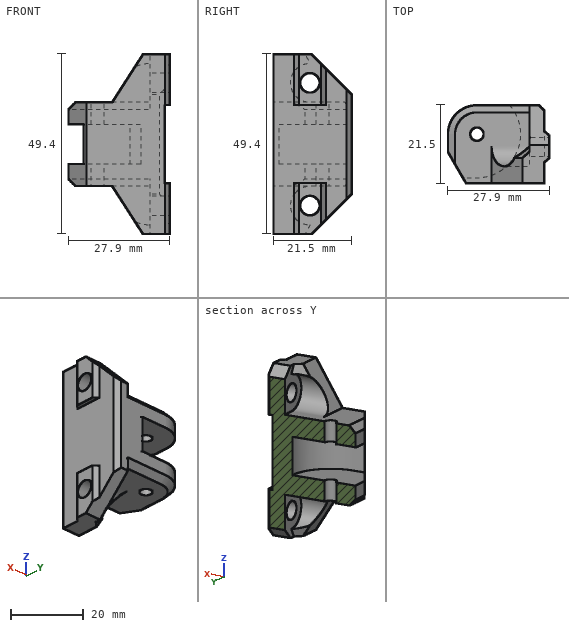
import cadquery as cq
import math

depth_y = 21.5
back_x = 26.5
half_height = 24.7
overlap = 1.0

body_half_height = 11.53
corner_radius = 8.0
rim_chamfer = 2.0
nose_cut_x = 5.0
nose_angle = 60.0
nose_cut_y = nose_cut_x * math.tan(math.radians(nose_angle))
pivot_diameter = 3.6
pivot_x = corner_radius
pivot_y = depth_y - corner_radius
slot_height = 10.85
slot_radius = 12.0

ear_face_x = 22.45
ear_corner_cut = 11.0
back_chamfer = 1.5
screw_diameter = 5.3
screw_y = 10.0
screw_z = 16.85
head_radius = screw_z - body_half_height

gusset_foot_x = 12.05
gusset_tip_x = 20.5
gusset_bevel_y = 7.0
gusset_bevel_x = 3.45

tongue_height = 1.4
tongue_base_width = 8.7
tongue_tip_width = 6.1
tongue_y = 10.05
tongue_inner_z = 10.7


def make_body():
    """Block with a rounded, chamfered corner and a sloped nose."""
    body = (
        cq.Workplane("XY", origin=(0, 0, -body_half_height))
        .moveTo(0, 0)
        .lineTo(back_x, 0)
        .lineTo(back_x, depth_y)
        .lineTo(corner_radius, depth_y)
        .radiusArc((0, pivot_y), -corner_radius)
        .close()
        .extrude(2 * body_half_height)
    )
    rim_region = cq.selectors.BoxSelector(
        (-overlap, overlap, -half_height), (back_x - overlap, depth_y + overlap, half_height)
    )
    body = body.edges("#Z").edges(rim_region).chamfer(rim_chamfer)
    nose = (
        cq.Workplane("XY", origin=(0, 0, -half_height))
        .polyline([(0, 0), (nose_cut_x, 0), (0, nose_cut_y)])
        .close()
        .extrude(2 * half_height)
    )
    return body.cut(nose)


def make_ear_plate():
    """Rear plate that carries both mounting ears."""
    plate = cq.Workplane("XY").box(back_x - ear_face_x, depth_y, 2 * half_height, centered=False)
    return plate.translate((ear_face_x, 0, -half_height))


def slope_x(z):
    """X of the gusset slope at the given height."""
    rise = (z - body_half_height) / (half_height - body_half_height)
    return gusset_foot_x + rise * (gusset_tip_x - gusset_foot_x)


def bevel_triangle(z):
    """Horizontal section of the gusset bevel at the given height."""
    x = slope_x(z)
    return cq.Wire.makePolygon(
        [
            cq.Vector(x, gusset_bevel_y, z),
            cq.Vector(x + gusset_bevel_x, screw_y, z),
            cq.Vector(x, screw_y, z),
        ],
        close=True,
    )


def make_gusset():
    """Upper gusset, bevelled above the screw and hollowed for the screw head."""
    gusset = (
        cq.Workplane("XZ")
        .polyline([
            (gusset_foot_x, body_half_height),
            (gusset_tip_x, half_height),
            (back_x, half_height),
            (back_x, body_half_height),
        ])
        .close()
        .extrude(-screw_y)
    )
    bevel = cq.Solid.makeLoft([bevel_triangle(screw_z), bevel_triangle(half_height)], True)
    head_clearance = (
        cq.Workplane("YZ").center(screw_y, screw_z).circle(head_radius).extrude(ear_face_x)
    )
    return gusset.cut(cq.Workplane(bevel)).cut(head_clearance)


def make_tongue():
    """Upper tapered tongue on the rear face."""
    return (
        cq.Workplane("XY", origin=(0, 0, tongue_inner_z))
        .polyline([
            (back_x, tongue_y - tongue_base_width / 2),
            (back_x + tongue_height, tongue_y - tongue_tip_width / 2),
            (back_x + tongue_height, tongue_y + tongue_tip_width / 2),
            (back_x, tongue_y + tongue_base_width / 2),
        ])
        .close()
        .extrude(half_height - tongue_inner_z)
    )


def make_ear_corner():
    """Cutter for the 45 degree outer corner of the upper ear."""
    return (
        cq.Workplane("YZ", origin=(ear_face_x, 0, 0))
        .polyline([
            (depth_y, half_height),
            (depth_y - ear_corner_cut, half_height),
            (depth_y, half_height - ear_corner_cut),
        ])
        .close()
        .extrude(back_x + tongue_height - ear_face_x)
    )


def make_back_edge():
    """Cutter for the chamfer along the rear edge of the part."""
    return (
        cq.Workplane("XY", origin=(0, 0, -half_height))
        .polyline([
            (back_x, depth_y),
            (back_x - back_chamfer, depth_y),
            (back_x, depth_y - back_chamfer),
        ])
        .close()
        .extrude(2 * half_height)
    )


def make_slot():
    """Clevis slot, rounded around the pivot axis and open at the free end."""
    return (
        cq.Workplane("XY", origin=(pivot_x, pivot_y, -slot_height / 2))
        .moveTo(0, -slot_radius)
        .threePointArc((slot_radius, 0), (0, slot_radius))
        .lineTo(-pivot_x - overlap, slot_radius)
        .lineTo(-pivot_x - overlap, -slot_radius)
        .close()
        .extrude(slot_height)
    )


def make_pivot_hole():
    """Cutter for the hinge pin hole along Z."""
    return (
        cq.Workplane("XY", origin=(pivot_x, pivot_y, -half_height))
        .circle(pivot_diameter / 2)
        .extrude(2 * half_height)
    )


def make_screw_holes():
    """Cutters for the mounting screw holes along X, one in each ear."""
    return (
        cq.Workplane("YZ", origin=(ear_face_x - overlap, 0, 0))
        .pushPoints([(screw_y, screw_z), (screw_y, -screw_z)])
        .circle(screw_diameter / 2)
        .extrude(back_x + tongue_height + 2 * overlap - ear_face_x)
    )


result = make_body().union(make_ear_plate())
for upper_feature in (make_gusset(), make_tongue()):
    result = result.union(upper_feature).union(upper_feature.mirror("XY"))

upper_corner = make_ear_corner()
result = result.cut(upper_corner).cut(upper_corner.mirror("XY"))
for cutter in (make_back_edge(), make_slot(), make_pivot_hole(), make_screw_holes()):
    result = result.cut(cutter)